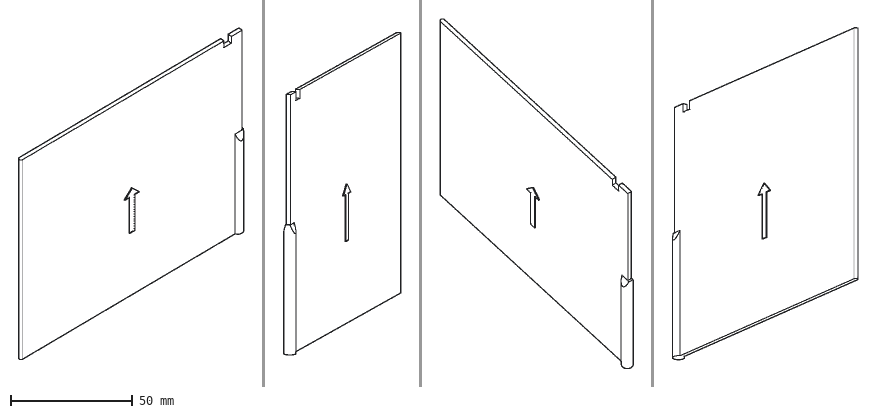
import cadquery as cq

length = 123
height = 110.0
thickness = 2.0
face_x = thickness / 2

bead_diameter = 5.0
bead_radius = bead_diameter / 2
bead_height = height / 2
bead_taper_height = 3.9
bead_y = length / 2 - bead_radius
plate_inset = 1.0

notch_width = 4.0
notch_depth = 3.7
notch_y = 52.5

arrow_relief = 0.5
arrow_y = -0.5
arrow_bottom = 35.0
arrow_length = 24.1
arrow_head_length = 4.3
arrow_head_width = 8.0
arrow_stem_width = 2.8


def make_plate():
    """Upright plate with a fully rounded -Y edge and a square +Y edge."""
    y_start = -length / 2
    y_end = length / 2 - plate_inset
    return (
        cq.Workplane("XY")
        .moveTo(-face_x, y_end)
        .lineTo(-face_x, y_start + face_x)
        .threePointArc((0, y_start), (face_x, y_start + face_x))
        .lineTo(face_x, y_end)
        .close()
        .extrude(height)
    )


def make_notch():
    return (
        cq.Workplane("XY")
        .box(bead_diameter, notch_width, notch_depth, centered=(True, True, False))
        .translate((0, notch_y, height - notch_depth))
    )


def make_bead():
    """Cylinder whose top slopes down from each plate face to its outer sides."""
    taper_start = bead_height - bead_taper_height
    cylinder = cq.Workplane("XY").center(0, bead_y).circle(bead_radius).extrude(bead_height)
    tapered_envelope = (
        cq.Workplane("XZ", origin=(0, bead_y, 0))
        .polyline([
            (-bead_radius, 0),
            (-bead_radius, taper_start),
            (-face_x, bead_height),
            (face_x, bead_height),
            (bead_radius, taper_start),
            (bead_radius, 0),
        ])
        .close()
        .extrude(bead_radius, both=True)
    )
    return cylinder.intersect(tapered_envelope)


def make_arrow():
    """Upward arrow passing through the plate, standing proud of both faces."""
    tip_z = arrow_bottom + arrow_length
    head_z = tip_z - arrow_head_length
    half_stem = arrow_stem_width / 2
    half_head = arrow_head_width / 2
    return (
        cq.Workplane("YZ")
        .polyline([
            (arrow_y - half_stem, arrow_bottom),
            (arrow_y - half_stem, head_z),
            (arrow_y - half_head, head_z),
            (arrow_y, tip_z),
            (arrow_y + half_head, head_z),
            (arrow_y + half_stem, head_z),
            (arrow_y + half_stem, arrow_bottom),
        ])
        .close()
        .extrude(face_x + arrow_relief, both=True)
    )


result = make_plate().cut(make_notch()).union(make_bead()).union(make_arrow())